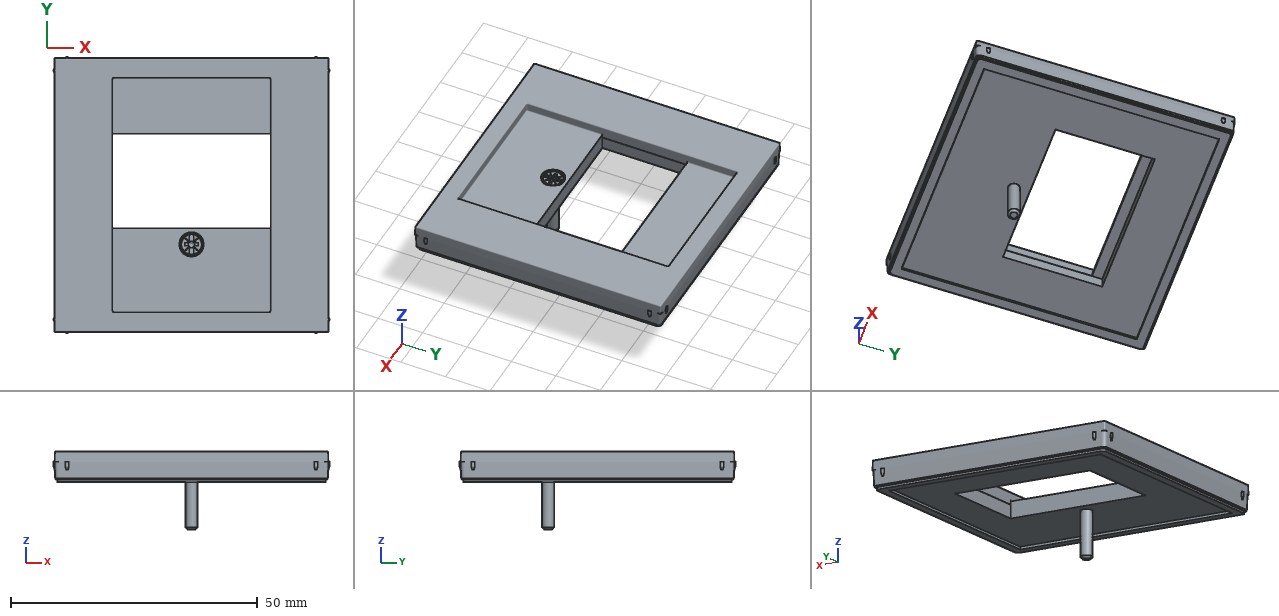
import cadquery as cq
import math


outer_side = 55.5
cap_height = 2.1
draft_angle = 2.0
base_corner_radius = 0.75
base_bottom = -5.7
base_bottom_chamfer = 0.25
foot_inset = 0.4
foot_bottom = -6.2
edge_radius = 0.25
foot_thickness = 2.0
underside_z = -5.6

recess_width = 32.0
recess_length = 47.4
recess_depth = 2.0
window_width = recess_width
window_y_min = -6.7
window_y_max = 12.4
lip_thickness = 0.7
lip_overhang = 2.2
side_relief = 0.05

rib_radius = 0.45
rib_offset = 25.2
rib_protrusion = 0.2
rib_straight_length = 0.85
rib_tip_length = 0.75

screw_y = -10.0
screw_bottom = -15.8
shank_radius = 1.25
shank_tip_chamfer = 0.5
hole_rim_radius = 2.47
head_radius = 2.28
head_flat_radius = 2.05
slot_width = 0.85
slot_depth = 0.5
cross_length = 2.8
cross_width = 0.6
cross_depth = 0.8
pit_radius = 0.65
pit_depth = 1.3
mark_start = 1.0
mark_end = 1.7
mark_width = 0.09
mark_depth = 0.1

floor_z = -recess_depth
head_top = floor_z - (hole_rim_radius - head_radius)
head_rim = head_top - (head_radius - head_flat_radius)
head_bottom = head_rim - (head_radius - shank_radius)


def block(width, length, bottom, top, center_y=0.0):
    """Upright box centred on X = 0, between two heights."""
    return (
        cq.Workplane("XY", origin=(0, center_y, bottom))
        .rect(width, length)
        .extrude(top - bottom)
    )


def snap_rib(angle):
    """Pair of upright round ribs with conical lower ends, on the side turned by angle."""
    axis_reach = outer_side / 2 + rib_protrusion - rib_radius
    straight_end = -cap_height - rib_straight_length
    tip_end = straight_end - rib_tip_length
    tip_radius = rib_radius - rib_protrusion
    rib = (
        cq.Workplane("XZ")
        .polyline([
            (0, -cap_height),
            (rib_radius, -cap_height),
            (rib_radius, straight_end),
            (tip_radius, tip_end),
            (0, tip_end),
        ])
        .close()
        .revolve(360, (0, 0, 0), (0, 1, 0))
    )
    left = rib.translate((-rib_offset, -axis_reach, 0))
    right = rib.translate((rib_offset, -axis_reach, 0))
    return left.union(right).rotate((0, 0, 0), (0, 0, 1), angle)


def plate():
    """Cap and base drafted away from their common line, standing on a slightly smaller hollow foot."""
    cap = (
        cq.Workplane("XY", origin=(0, 0, -cap_height))
        .rect(outer_side, outer_side)
        .extrude(cap_height, taper=draft_angle)
    )
    cap = cap.edges("not <Z").fillet(edge_radius)
    base_height = -cap_height - base_bottom
    base = (
        cq.Workplane("XY", origin=(0, 0, -cap_height))
        .rect(outer_side, outer_side)
        .extrude(-base_height, taper=draft_angle)
    )
    base = base.edges("not (#Z)").fillet(base_corner_radius)
    base = base.faces("<Z").chamfer(base_bottom_chamfer)
    base_bottom_side = outer_side - 2 * base_height * math.tan(math.radians(draft_angle))
    foot_side = base_bottom_side - 2 * foot_inset
    foot = block(foot_side, foot_side, foot_bottom, base_bottom)
    foot = foot.edges("|Z").fillet(base_corner_radius)
    pocket_side = foot_side - 2 * foot_thickness
    pocket = block(pocket_side, pocket_side, foot_bottom, underside_z)
    return cap.union(base).union(foot).cut(pocket)


def recess():
    """Shallow rectangular pocket with rounded corners and a rounded floor edge."""
    pocket = block(recess_width, recess_length, floor_z, 0)
    return pocket.edges("|Z or <Z").fillet(edge_radius)


def window():
    """Opening through the recess floor, widened below the lip, most of all on its +Y side."""
    length = window_y_max - window_y_min
    center_y = (window_y_max + window_y_min) / 2
    opening = block(window_width, length, foot_bottom, floor_z + edge_radius, center_y)
    undercut = block(
        window_width + 2 * side_relief,
        length + lip_overhang,
        foot_bottom,
        floor_z - lip_thickness,
        center_y + lip_overhang / 2,
    )
    return opening.union(undercut)


def screw_hole():
    """Countersunk through hole that fits the screw."""
    return (
        cq.Workplane("YZ", origin=(0, screw_y, 0))
        .polyline([
            (0, floor_z),
            (hole_rim_radius, floor_z),
            (head_radius, head_top),
            (head_radius, head_rim),
            (shank_radius, head_bottom),
            (shank_radius, foot_bottom),
            (0, foot_bottom),
        ])
        .close()
        .revolve(360, (0, 0, 0), (0, 1, 0))
    )


def build_frame():
    """Plate with recess, window, screw hole and snap ribs."""
    select_margin = 0.05
    body = plate().cut(recess())
    corner = (recess_width / 2, recess_length / 2)
    recess_rim = cq.selectors.BoxSelector(
        (-corner[0] - select_margin, -corner[1] - select_margin, -select_margin),
        (corner[0] + select_margin, corner[1] + select_margin, select_margin),
    )
    body = body.edges(recess_rim).fillet(edge_radius)
    body = body.cut(window()).cut(screw_hole())
    for side in range(4):
        body = body.union(snap_rib(90 * side))
    return body


def drive_recess():
    """Straight slot across the head, cross arms, a conical pit and four diagonal marks."""
    slot = block(slot_width, 2 * head_radius, head_top - slot_depth, head_top)
    arms = block(cross_length, cross_width, head_top - cross_depth, head_top)
    pit = (
        cq.Workplane("XZ")
        .polyline([
            (0, head_top),
            (pit_radius, head_top),
            (pit_radius, head_top - cross_depth),
            (0, head_top - pit_depth),
        ])
        .close()
        .revolve(360, (0, 0, 0), (0, 1, 0))
    )
    tool = slot.union(arms).union(pit)
    mark = block(mark_end - mark_start, mark_width, head_top - mark_depth, head_top)
    mark = mark.translate(((mark_start + mark_end) / 2, 0, 0))
    for quarter in range(4):
        tool = tool.union(mark.rotate((0, 0, 0), (0, 0, 1), 45 + 90 * quarter))
    return tool


def build_screw():
    """Countersunk screw with a chamfered tip."""
    shaft = (
        cq.Workplane("YZ")
        .polyline([
            (0, head_top),
            (head_flat_radius, head_top),
            (head_radius, head_rim),
            (shank_radius, head_bottom),
            (shank_radius, screw_bottom + shank_tip_chamfer),
            (shank_radius - shank_tip_chamfer, screw_bottom),
            (0, screw_bottom),
        ])
        .close()
        .revolve(360, (0, 0, 0), (0, 1, 0))
    )
    return shaft.cut(drive_recess()).translate((0, screw_y, 0))


frame = build_frame()
screw = build_screw()

result = cq.Compound.makeCompound([frame.val(), screw.val()])